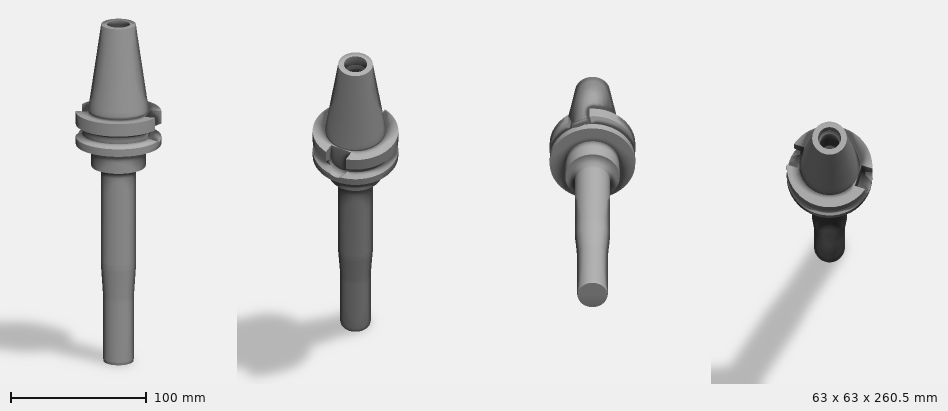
import cadquery as cq
import math

total_length = 260.5
taper_base_z = 194.8
flange_top_z = 193.2
flange_bottom_z = 168.0
body_bottom_z = 151.0
shank_bend_z = 77.5
shank_cone_top_z = 73.7
shank_cone_bottom_z = 52.0
nose_bend_z = 48.2

taper_small_diameter = 25.5
taper_large_diameter = 44.5
neck_diameter = 44.0
flange_diameter = 63.0
groove_diameter = 53.0
body_diameter = 40.0
shank_diameter = 26.0
nose_diameter = 22.7
nose_end_diameter = 22.0

groove_mid_z = 178.6
groove_floor_width = 5.0
groove_mouth_width = 10.0

shank_fillet = 5.5
nose_chamfer_length = 2.0

slot_width = 16.7
slot_bottom_z = 172.5
slot_floor_x = 22.1

pilot_diameter = 17.0
relief_groove_diameter = 17.5
relief_groove_width = 1.5
pilot_depth = 7.3
tap_hole_diameter = 14.0
tap_hole_depth = 39.0
step_angle = 60.0
drill_point_angle = 130.0


def make_holder():
    """Revolve the half profile: taper, grooved flange, body, shank and nose."""
    shank_radius = shank_diameter / 2
    nose_radius = nose_diameter / 2
    flange_radius = flange_diameter / 2
    groove_radius = groove_diameter / 2
    fillet_diagonal = shank_fillet * (1 - math.sqrt(0.5))

    upper_bend = shank_bend_z - shank_cone_top_z
    lower_bend = shank_cone_bottom_z - nose_bend_z
    cone_length = shank_cone_top_z - shank_cone_bottom_z
    slope = (shank_radius - nose_radius) / (cone_length + (upper_bend + lower_bend) / 2)
    cone_top_radius = shank_radius - slope * upper_bend / 2
    cone_bottom_radius = nose_radius + slope * lower_bend / 2

    return (
        cq.Workplane("XZ")
        .moveTo(0, total_length)
        .lineTo(taper_small_diameter / 2, total_length)
        .lineTo(taper_large_diameter / 2, taper_base_z)
        .lineTo(neck_diameter / 2, taper_base_z)
        .lineTo(neck_diameter / 2, flange_top_z)
        .lineTo(flange_radius, flange_top_z)
        .lineTo(flange_radius, groove_mid_z + groove_mouth_width / 2)
        .lineTo(groove_radius, groove_mid_z + groove_floor_width / 2)
        .lineTo(groove_radius, groove_mid_z - groove_floor_width / 2)
        .lineTo(flange_radius, groove_mid_z - groove_mouth_width / 2)
        .lineTo(flange_radius, flange_bottom_z)
        .lineTo(body_diameter / 2, flange_bottom_z)
        .lineTo(body_diameter / 2, body_bottom_z)
        .lineTo(shank_radius + shank_fillet, body_bottom_z)
        .threePointArc(
            (shank_radius + fillet_diagonal, body_bottom_z - fillet_diagonal),
            (shank_radius, body_bottom_z - shank_fillet),
        )
        .lineTo(shank_radius, shank_bend_z)
        .tangentArcPoint((cone_top_radius, shank_cone_top_z), relative=False)
        .lineTo(cone_bottom_radius, shank_cone_bottom_z)
        .tangentArcPoint((nose_radius, nose_bend_z), relative=False)
        .lineTo(nose_radius, nose_chamfer_length)
        .lineTo(nose_end_diameter / 2, 0)
        .lineTo(0, 0)
        .close()
        .revolve(360, (0, 0), (0, 1))
    )


def make_slot(side):
    """Round-bottomed cutter for one drive slot; side is -1 or +1 along X."""
    slot_radius = slot_width / 2
    center_z = slot_bottom_z + slot_radius
    return (
        cq.Workplane("YZ", origin=(side * slot_floor_x, 0, 0))
        .moveTo(-slot_radius, flange_top_z)
        .lineTo(-slot_radius, center_z)
        .threePointArc((0, slot_bottom_z), (slot_radius, center_z))
        .lineTo(slot_radius, flange_top_z)
        .close()
        .extrude(side * flange_diameter / 2)
    )


def make_stepped_hole():
    """Revolve the pilot bore, relief groove, conical step and drilled tap hole as one cutter."""
    pilot_radius = pilot_diameter / 2
    tap_radius = tap_hole_diameter / 2
    groove_radius = relief_groove_diameter / 2
    groove_top_z = total_length - pilot_depth
    step_top_z = groove_top_z - relief_groove_width
    step_height = (pilot_radius - tap_radius) / math.tan(math.radians(step_angle / 2))
    step_bottom_z = step_top_z - step_height
    tap_floor_z = total_length - tap_hole_depth
    point_length = tap_radius / math.tan(math.radians(drill_point_angle / 2))
    return (
        cq.Workplane("XZ")
        .moveTo(0, total_length)
        .lineTo(pilot_radius, total_length)
        .lineTo(pilot_radius, groove_top_z)
        .lineTo(groove_radius, groove_top_z)
        .lineTo(groove_radius, step_top_z)
        .lineTo(pilot_radius, step_top_z)
        .lineTo(tap_radius, step_bottom_z)
        .lineTo(tap_radius, tap_floor_z)
        .lineTo(0, tap_floor_z - point_length)
        .close()
        .revolve(360, (0, 0), (0, 1))
    )


result = make_holder()
for side in (-1, 1):
    result = result.cut(make_slot(side))
result = result.cut(make_stepped_hole())